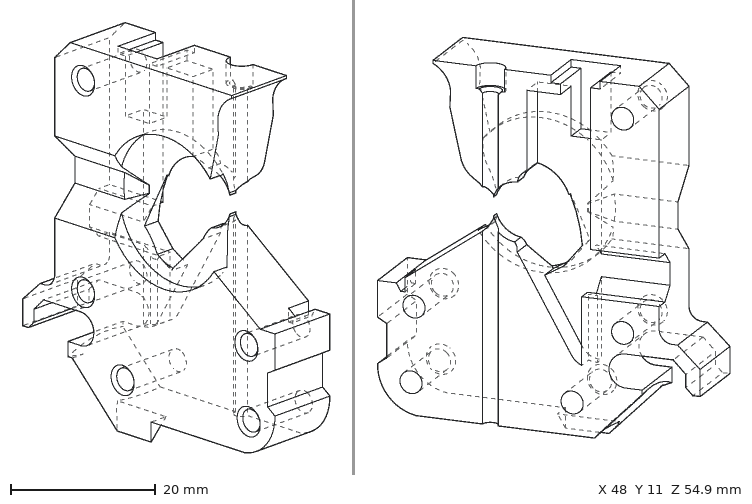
import cadquery as cq
import math

width = 48.0
thickness = 11.0
height = 54.85

left_wall_x = 6.1
top_chamfer = 2.95
inner_fillet = 2.0
hook_top_z = 18.0
hook_tip_z = 10.9
hook_tip_chamfer = 1.05
hook_inner_x = 2.15
slot_radius = 2.45
slot_bottom_z = 10.8
slot_top_z = slot_bottom_z + 2 * slot_radius
slot_center_x = 11.1
lip_x = 8.6
lip_z = 8.55

base_z = 2.95
tab_left_x = 18.0
tab_right_x = 24.45
ramp_foot_x = 45.2
ramp_foot_z = 21.9
notch_x = 46.6
horn_x = 39.75

axis_x = 27.05
axis_z = 34.35
bowl_radius = 11.25
bowl_straight_depth = 2.65
bore_radius = 4.4
bore_start_y = 8.65

groove_depth = 4.05
groove_floor_half = 2.0
runout_radius = 11.65
runout_inner_radius = 8.2
runout_depth = 5.45

hole_diameter = 3.3
hole_chamfer = 0.55
hole_places = [(11.5, 49.85), (11.5, 18.75), (42.55, 18.75), (19.05, 7.75), (43.0, 7.75)]

filament_x = 31.2
filament_radius = 1.15
filament_inlet_diameter = 3.35
filament_inlet_depth = 0.55
filament_mouth_radius = 2.15
filament_mouth_depth = 3.3

top_slot_left_x = 14.85
top_slot_width = 7.35
top_slot_start_y = 3.5
top_slot_ledge = 1.4
top_slot_recess = 1.1
top_slot_shelf = 1.55
top_slot_floor_z = 45.0

passage_start_y = 7.0
passage_right_x = 27.2
passage_upper_x = 25.8
tilted_wall_top_z = 28.6
tilted_wall_angle = 60.0
nose_end_x = 28.25
nose_end_z = 30.5
pit_wall_x = 19.15
pit_fillet = 3.0
pit_shelf_x = 17.6
pit_shelf_y = 8.45
pit_shelf_chamfer = 0.45
channel_bottom_z = 23.25
channel_height = 7.0
channel_end_x = pit_shelf_x
channel_chamfer = 1.85
window_start_y = 3.85

relief_peak_y = 7.95
relief_depth = 0.65
relief_rise = 1.25

ramp_notch_x = 43.95
ramp_notch_low = (44.55, 20.75)
ramp_notch_top_z = 24.7


def prism(outline, start_y, end_y):
    """Extrude a closed XZ wire along +Y between two depths."""
    return outline.extrude(start_y - end_y).translate((0, start_y, 0))


def box(x0, x1, y0, y1, z0, z1):
    return cq.Workplane("XY").box(x1 - x0, y1 - y0, z1 - z0, centered=False).translate((x0, y0, z0))


def drive_axis_solid(profile):
    """Revolve (radius, Y) points about the drive axis."""
    points = [(axis_x + radius, y) for radius, y in profile]
    flat = cq.Workplane("XY").polyline(points).close()
    return flat.revolve(360, (axis_x, 0), (axis_x, 1)).translate((0, 0, axis_z))


def plate():
    """Outer outline, clockwise from the upper left corner."""
    slot_end = (slot_center_x + slot_radius, slot_bottom_z + slot_radius)
    outline = (
        cq.Workplane("XZ")
        .moveTo(left_wall_x, height - top_chamfer)
        .lineTo(left_wall_x + top_chamfer, height)
        .lineTo(horn_x, height)
        .lineTo(horn_x, 54.4)
        .threePointArc((37.85, 52.75), (37.15, 50.8))
        .lineTo(37.25, 48.4)
        .lineTo(35.65, 41.35)
        .threePointArc((35.05, 39.8), (33.75, 38.5))
        .lineTo(32.8, 37.85)
        .lineTo(filament_x, 36.1)
        .lineTo(filament_x, 32.6)
        .lineTo(31.9, 31.4)
        .lineTo(32.45, 30.9)
        .lineTo(ramp_foot_x, ramp_foot_z)
        .lineTo(width, ramp_foot_z)
        .lineTo(width, 16.55)
        .lineTo(notch_x, 15.8)
        .lineTo(notch_x, 10.8)
        .lineTo(width, 9.8)
        .threePointArc((46.25, 5.1), (42.25, base_z))
        .lineTo(tab_right_x, base_z)
        .lineTo(tab_right_x, 0)
        .lineTo(tab_left_x, 0)
        .lineTo(tab_left_x - lip_z, lip_z)
        .lineTo(lip_x, lip_z)
        .lineTo(lip_x, slot_bottom_z)
        .lineTo(slot_center_x, slot_bottom_z)
        .threePointArc(slot_end, (slot_center_x, slot_top_z))
        .lineTo(4.0, slot_top_z)
        .lineTo(hook_inner_x, 13.9)
        .lineTo(hook_inner_x, hook_tip_z + hook_tip_chamfer)
        .lineTo(hook_inner_x - hook_tip_chamfer, hook_tip_z)
        .lineTo(0, hook_tip_z)
        .lineTo(0, 14.85)
        .lineTo(3.35, hook_top_z)
        .lineTo(left_wall_x - inner_fillet, hook_top_z)
        .radiusArc((left_wall_x, hook_top_z + inner_fillet), -inner_fillet)
        .close()
    )
    return prism(outline, 0, thickness)


def bowl():
    """Straight rim, cone and bore about the drive axis."""
    return drive_axis_solid(
        [
            (0, 0),
            (bowl_radius, 0),
            (bowl_radius, bowl_straight_depth),
            (bore_radius, bore_start_y),
            (bore_radius, thickness),
            (0, thickness),
        ]
    )


def groove_prism(depth):
    """45 degree groove from the left wall to the drive axis, cut to the given depth."""
    vee_depth = groove_depth + groove_floor_half
    floor_half = vee_depth - depth
    section = [
        (0, axis_z - vee_depth),
        (depth, axis_z - floor_half),
        (depth, axis_z + floor_half),
        (0, axis_z + vee_depth),
    ]
    return cq.Workplane("YZ").polyline(section).close().extrude(axis_x)


def groove():
    """Side groove whose floor runs out in a shallow cone toward the bowl."""
    runout = drive_axis_solid(
        [
            (0, 0),
            (runout_radius, 0),
            (runout_radius, groove_depth),
            (runout_inner_radius, runout_depth),
            (0, runout_depth),
        ]
    )
    return groove_prism(groove_depth).union(groove_prism(runout_depth).intersect(runout))


def screw_hole(x, z):
    """Through hole with a chamfer at the front face."""
    radius = hole_diameter / 2
    profile = [
        (0, 0),
        (radius + hole_chamfer, 0),
        (radius, hole_chamfer),
        (radius, thickness),
        (0, thickness),
    ]
    hole = cq.Workplane("XY").polyline(profile).close().revolve(360, (0, 0), (0, 1))
    return hole.translate((x, 0, z))


def filament_path():
    """Bore through the full height, with a funnel under a wider mouth at the top."""
    mouth_z = height - filament_mouth_depth
    profile = [
        (0, 0),
        (filament_radius, 0),
        (filament_radius, mouth_z - filament_inlet_depth),
        (filament_inlet_diameter / 2, mouth_z),
        (filament_mouth_radius, mouth_z),
        (filament_mouth_radius, height),
        (0, height),
    ]
    bore = cq.Workplane("YZ").polyline(profile).close().revolve(360, (0, 0), (0, 1))
    return bore.translate((filament_x, thickness, 0))


def top_slot():
    """Wide shallow recess with a narrower throat below it."""
    x0 = top_slot_left_x
    x1 = x0 + top_slot_width
    recess_floor_z = height - top_slot_recess
    recess = box(x0, x1, top_slot_start_y, thickness, recess_floor_z, height)
    throat_x0 = x0 + top_slot_ledge
    throat_x1 = x1 - top_slot_ledge
    throat = box(throat_x0, throat_x1, top_slot_start_y, thickness, top_slot_floor_z, recess_floor_z)
    return recess.union(throat)


def tilted_wall_z(x):
    """Height of the tilted right wall of the passage at a given X."""
    return tilted_wall_top_z - (passage_right_x - x) * math.tan(math.radians(tilted_wall_angle))


def back_passage():
    """Passage from under the top slot past the bowl and down a tilted wall to a rounded pit."""
    tilt = math.radians(tilted_wall_angle)
    left_x = top_slot_left_x + top_slot_ledge
    shelf_bottom_z = height - top_slot_recess - top_slot_shelf
    pit_wall_z = tilted_wall_z(pit_wall_x)
    pit_floor_z = pit_wall_z - pit_fillet * (1 - math.cos(tilt))
    outline = (
        cq.Workplane("XZ")
        .moveTo(left_x, shelf_bottom_z)
        .lineTo(left_x, pit_floor_z)
        .lineTo(pit_wall_x - pit_fillet * math.sin(tilt), pit_floor_z)
        .radiusArc((pit_wall_x, pit_wall_z), -pit_fillet)
        .lineTo(passage_right_x, tilted_wall_top_z)
        .threePointArc((27.4, 29.75), (nose_end_x, nose_end_z))
        .lineTo(passage_right_x, axis_z)
        .lineTo(passage_right_x, 38.45)
        .threePointArc((26.8, 39.65), (passage_upper_x, 40.5))
        .lineTo(passage_upper_x, shelf_bottom_z)
        .close()
    )
    shelf = box(left_x, pit_shelf_x, pit_shelf_y, thickness, pit_floor_z, channel_bottom_z)
    shelf = shelf.edges(">Z and <Y").chamfer(pit_shelf_chamfer)
    return prism(outline, passage_start_y, thickness).cut(shelf)


def bowl_window():
    """Deeper part of the passage that breaks through the lower left of the bowl."""
    lower_x = 24.75
    outline = (
        cq.Workplane("XZ")
        .moveTo(20.95, 36.55)
        .threePointArc((19.7, 32.75), (19.15, 29.3))
        .lineTo(21.95, 25.95)
        .lineTo(lower_x, tilted_wall_z(lower_x))
        .lineTo(passage_right_x, tilted_wall_top_z)
        .lineTo(passage_right_x, axis_z)
        .close()
    )
    return prism(outline, window_start_y, thickness)


def side_channel():
    """Channel with bevelled corners from the left side into the passage."""
    top_z = channel_bottom_z + channel_height
    section = [
        (thickness, channel_bottom_z),
        (passage_start_y + channel_chamfer, channel_bottom_z),
        (passage_start_y, channel_bottom_z + channel_chamfer),
        (passage_start_y, top_z - channel_chamfer),
        (passage_start_y + channel_chamfer, top_z),
        (thickness, top_z),
    ]
    return cq.Workplane("YZ").polyline(section).close().extrude(channel_end_x)


def tab_bevel():
    """45 degree bevel behind the bottom tab, up to the base level."""
    section = [(0, 0), (thickness, 0), (thickness, base_z), (base_z, base_z)]
    return cq.Workplane("YZ").polyline(section).close().extrude(width)


def slope_relief():
    """Hollow of round section that runs along the lower left slope."""
    radius = (relief_peak_y ** 2 + relief_rise ** 2) / (2 * relief_rise)
    slope = cq.Plane(origin=(tab_left_x, relief_peak_y, 0), xDir=(0, 1, 0), normal=(-1, 0, 1))
    roller = cq.Workplane(slope).center(0, radius - relief_depth).circle(radius).extrude(height, both=True)
    lower_left = box(lip_x, tab_right_x, 0, thickness, 0, slot_bottom_z)
    return roller.intersect(lower_left)


def ramp_notch():
    """Small step behind the foot of the right ramp."""
    outline = cq.Workplane("XZ").polyline(
        [
            (ramp_notch_x, ramp_notch_top_z),
            (ramp_notch_x, ramp_notch_low[1]),
            ramp_notch_low,
            (ramp_foot_x, ramp_foot_z),
            (ramp_foot_x, ramp_notch_top_z),
        ]
    )
    return prism(outline.close(), passage_start_y, thickness)


result = plate()
cuts = [
    bowl(),
    groove(),
    filament_path(),
    top_slot(),
    back_passage(),
    bowl_window(),
    side_channel(),
    tab_bevel(),
    slope_relief(),
    ramp_notch(),
]
cuts += [screw_hole(x, z) for x, z in hole_places]
for cut in cuts:
    result = result.cut(cut)